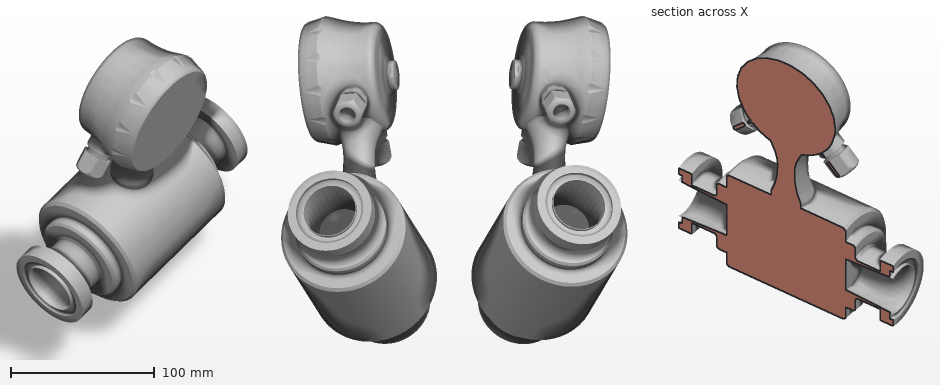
import cadquery as cq
import math

body_radius = 44.5
body_half_length = 50.1
body_chamfer = 2.0
collar_radius = 65 / 2
collar_end = 58.2
collar_chamfer = 1.5
neck_radius = 40.0 / 2
neck_root_flare = 1.5
flange_radius = 60.0 / 2
flange_thickness = 11.2
flange_end = 90.0

groove_outer_radius = 48.0 / 2
lip_radius = 38 / 2
groove_depth = 2.7
bore_mouth_radius = 18.5
bore_floor_radius = 16.5
bore_floor = body_half_length

stem_root = 33.5
stem_base_radius = 30.0 / 2
stem_base_top = 47.9
stem_shoulder_radius = 14.0
stem_shoulder = 50.8
stem_taper_radius = 12.8
stem_taper_top = 55.5
stem_waist_radius = 22.0 / 2
stem_waist_bottom = 71.5
stem_waist_top = 75.9
stem_flare_radius = 41.8
stem_head_top = 98.0

back_face = -19.2
back_face_radius = 33.3
dish_radius = 25.7
boss_rim = (-20.8, 30.0 / 2)
boss_top = (-22.2, 23.5 / 2)
shell_back = (-13.6, 38.3)
shell_front = (15.2, 43.9)
shell_front_direction = (1, 0.37)
ridge_start = (19.0, 45.0)
ridge_peak = (20.0, 45.2)
ridge_end = (20.8, 45.0)
cap_rim = (31.5, 42.3)
cap_face = 34.2
cap_face_radius = 81.2 / 2

notch_count = 12
notch_tip = (32.0, 42.3)
notch_half_angle = 31
notch_cutter_length = 18.0
notch_back = (17.0, 44.5)
notch_half_width = 3.5

overall_height = 223.8
ridge_top = math.sqrt(ridge_peak[1] ** 2 - notch_half_width**2)
housing_height = overall_height - body_radius - ridge_top

plug_foot_radius = 21.0 / 2
plug_foot_end = -23.3
plug_radius = 20.8 / 2
plug_end = -26.6
plug_tip = -28.0
plug_flat_offset = 9.2
plug_flat_start = -24.5

gland_x = -2.2
gland_tilt = 45
gland_root = 26.9
base_hex = (20.0, 20.8)
base_start = 39.4
base_end = 45.5
gland_shank_radius = 16.8 / 2
nut_hex = (19.5, 22.0)
nut_start = 49.2
nut_end = 64.7
gland_hole_radius = 12.0 / 2


def flow_body():
    """Turned body, collars, necks and flanges, alike at both ends."""
    flange_back = flange_end - flange_thickness
    groove_floor = flange_end - groove_depth
    outline = [
        (body_radius, body_half_length - body_chamfer),
        (body_radius - body_chamfer, body_half_length),
        (collar_radius, body_half_length),
        (collar_radius, collar_end - collar_chamfer),
        (collar_radius - collar_chamfer, collar_end),
        (neck_radius + neck_root_flare, collar_end),
        (neck_radius, collar_end + neck_root_flare),
        (neck_radius, flange_back),
        (flange_radius, flange_back),
        (flange_radius, flange_end),
        (groove_outer_radius, flange_end),
        (groove_outer_radius, groove_floor),
        (lip_radius, groove_floor),
        (lip_radius, flange_end),
        (bore_mouth_radius, flange_end),
        (bore_floor_radius, bore_floor),
        (0, bore_floor),
    ]
    far_end = [(radius, -y) for radius, y in reversed(outline)]
    return cq.Workplane("XY").polyline(outline + far_end).close().revolve(360, (0, 0), (0, 1))


def stem():
    """Waisted column that flares tangentially out of its waist into the housing."""
    rise = stem_head_top - stem_waist_top
    flare = stem_flare_radius - math.sqrt(stem_flare_radius**2 - rise**2)
    return (
        cq.Workplane("XZ")
        .moveTo(0, stem_head_top)
        .lineTo(stem_waist_radius + flare, stem_head_top)
        .radiusArc((stem_waist_radius, stem_waist_top), -stem_flare_radius)
        .lineTo(stem_waist_radius, stem_waist_bottom)
        .tangentArcPoint((stem_taper_radius, stem_taper_top), relative=False)
        .lineTo(stem_shoulder_radius, stem_shoulder)
        .lineTo(stem_base_radius, stem_base_top)
        .lineTo(stem_base_radius, stem_root)
        .lineTo(0, stem_root)
        .close()
        .revolve(360, (0, 0), (0, 1))
    )


def housing():
    """Turned housing with its screw cap, on the X axis."""
    diagonal = math.sqrt(0.5)
    edge_depth = shell_back[0] - back_face
    edge_height = shell_back[1] - back_face_radius
    back_edge_middle = (
        shell_back[0] - edge_depth * diagonal,
        back_face_radius + edge_height * diagonal,
    )
    return (
        cq.Workplane("XY")
        .moveTo(boss_top[0], 0)
        .lineTo(*boss_top)
        .lineTo(*boss_rim)
        .lineTo(back_face, dish_radius)
        .lineTo(back_face, back_face_radius)
        .threePointArc(back_edge_middle, shell_back)
        .spline([shell_front], tangents=[(1, 0), shell_front_direction], includeCurrent=True)
        .lineTo(*ridge_start)
        .threePointArc(ridge_peak, ridge_end)
        .lineTo(*cap_rim)
        .tangentArcPoint((cap_face, cap_face_radius), relative=False)
        .lineTo(cap_face, 0)
        .close()
        .revolve(360, (0, 0), (1, 0))
    )


def notch(angle):
    """Conical cutter with its point at the cap rim and its lowest line rising to the notch back."""
    floor_rise = math.degrees(math.atan2(notch_back[1] - notch_tip[1], notch_tip[0] - notch_back[0]))
    axis_rise = floor_rise + notch_half_angle
    base_radius = notch_cutter_length * math.tan(math.radians(notch_half_angle))
    cutter = (
        cq.Workplane("XZ")
        .lineTo(-notch_cutter_length, 0)
        .lineTo(-notch_cutter_length, base_radius)
        .close()
        .revolve(360, (0, 0), (1, 0))
        .rotate((0, 0, 0), (0, 1, 0), axis_rise)
        .translate((notch_tip[0], 0, notch_tip[1]))
    )
    return cutter.rotate((0, 0, 0), (1, 0, 0), angle)


def plug():
    """Round plug with a pointed end and two spanner flats, on the X axis."""
    turned = (
        cq.Workplane("XY")
        .lineTo(0, plug_foot_radius)
        .lineTo(plug_foot_end, plug_foot_radius)
        .lineTo(plug_foot_end, plug_radius)
        .lineTo(plug_end, plug_radius)
        .lineTo(plug_tip, 0)
        .close()
        .revolve(360, (0, 0), (1, 0))
    )
    flat_length = plug_flat_start - plug_tip
    for side in (-1, 1):
        flat_cut = cq.Workplane("XY").box(flat_length, plug_radius, 2 * plug_radius).translate(
            (plug_flat_start - flat_length / 2, side * (plug_flat_offset + plug_radius / 2), 0)
        )
        turned = turned.cut(flat_cut)
    return turned


def rounded_hex(size, start, end):
    """Hexagon along Z, corners to +X and -X, with its corners turned down to a cylinder."""
    across_flats, corner_diameter = size
    across_corners = across_flats / math.cos(math.pi / 6)
    plane = cq.Workplane("XY", origin=(0, 0, start))
    prism = plane.polygon(6, across_corners).extrude(end - start)
    return prism.intersect(plane.circle(corner_diameter / 2).extrude(end - start))


def gland():
    """Cable gland along +Z: round collar, base hexagon, shank and domed nut with a hole."""
    root = cq.Workplane("XY", origin=(0, 0, gland_root))
    collar = root.circle(base_hex[1] / 2).extrude(base_start - gland_root)
    shank = root.circle(gland_shank_radius).extrude(nut_start - gland_root)
    nut_radius = nut_hex[1] / 2
    dome_radius = nut_radius - gland_hole_radius
    domed_blank = (
        cq.Workplane("XZ")
        .moveTo(gland_hole_radius, nut_start)
        .lineTo(nut_radius, nut_start)
        .lineTo(nut_radius, nut_end - dome_radius)
        .radiusArc((gland_hole_radius, nut_end), -dome_radius)
        .lineTo(gland_hole_radius, nut_start)
        .close()
        .revolve(360, (0, 0), (0, 1))
    )
    nut = rounded_hex(nut_hex, nut_start, nut_end).intersect(domed_blank)
    return collar.union(shank).union(rounded_hex(base_hex, base_start, base_end)).union(nut)


head = housing()
for index in range(notch_count):
    head = head.cut(notch(index * 360 / notch_count))
head = head.union(plug())
for side in (-1, 1):
    placed_gland = gland().rotate((0, 0, 0), (1, 0, 0), side * (180 - gland_tilt))
    head = head.union(placed_gland.translate((gland_x, 0, 0)))

result = flow_body().union(stem()).union(head.translate((0, 0, housing_height)))